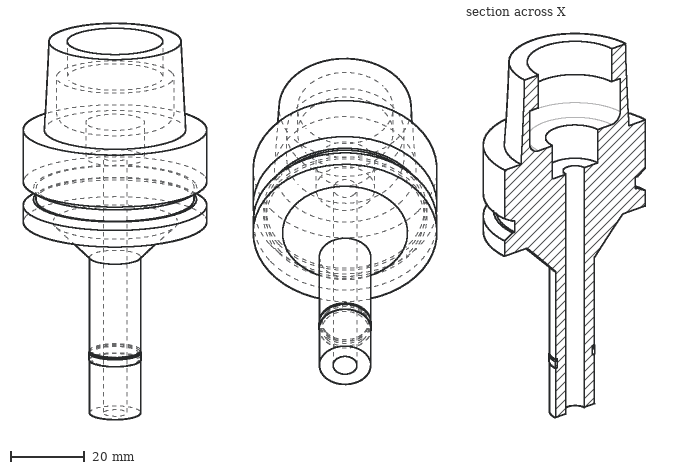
import cadquery as cq

total_length = 105.0
taper_length = 25.0
flange_length = 26.0
neck_cone_length = 10.0
gauge_face_z = total_length - taper_length
flange_bottom_z = gauge_face_z - flange_length
neck_bottom_z = flange_bottom_z - neck_cone_length

flange_radius = 25.0
taper_base_radius = 19.25
taper_tip_radius = 18.0
shank_radius = 7.0
neck_top_radius = shank_radius + neck_cone_length

gripper_center_z = 62.0
gripper_floor_width = 3.4
gripper_mouth_width = 6.6
gripper_floor_radius = 21.5
gripper_ledge_radius = 22.2

ring_groove_bottom_z = 15.0
ring_groove_width = 2.6
ring_seat_radius = 6.3
ring_height = 2.0
ring_radius = 7.1

drive_bore_radius = 13.0
drive_bore_depth = 10.0
undercut_radius = 16.0
undercut_fillet_radius = undercut_radius - drive_bore_radius
undercut_wall_length = 9.8
undercut_top_z = total_length - drive_bore_depth
undercut_fillet_top_z = undercut_top_z - undercut_wall_length
undercut_bottom_z = undercut_fillet_top_z - undercut_fillet_radius
clearance_bore_radius = 8.0
clearance_bore_depth = 10.0
through_hole_radius = 3.25


def cylinder(radius, bottom_z, height):
    return cq.Workplane("XY").workplane(offset=bottom_z).circle(radius).extrude(height)


def arbor_blank():
    profile = [
        (0, 0),
        (shank_radius, 0),
        (shank_radius, neck_bottom_z),
        (neck_top_radius, flange_bottom_z),
        (flange_radius, flange_bottom_z),
        (flange_radius, gripper_center_z - gripper_mouth_width / 2),
        (gripper_ledge_radius, gripper_center_z - gripper_floor_width / 2),
        (gripper_floor_radius, gripper_center_z - gripper_floor_width / 2),
        (gripper_floor_radius, gripper_center_z + gripper_floor_width / 2),
        (gripper_ledge_radius, gripper_center_z + gripper_floor_width / 2),
        (flange_radius, gripper_center_z + gripper_mouth_width / 2),
        (flange_radius, gauge_face_z),
        (taper_base_radius, gauge_face_z),
        (taper_tip_radius, total_length),
        (0, total_length),
    ]
    return cq.Workplane("XZ").polyline(profile).close().revolve(360, (0, 0, 0), (0, 1, 0))


def undercut():
    blank = cylinder(undercut_radius, undercut_bottom_z, undercut_top_z - undercut_bottom_z)
    return blank.faces("<Z").edges().fillet(undercut_fillet_radius)


def stepped_bore():
    drive_bore = cylinder(drive_bore_radius, undercut_top_z, drive_bore_depth)
    clearance_bore_bottom_z = undercut_bottom_z - clearance_bore_depth
    clearance_bore = cylinder(clearance_bore_radius, clearance_bore_bottom_z, clearance_bore_depth)
    through_hole = cylinder(through_hole_radius, 0, total_length)
    return drive_bore.union(undercut()).union(clearance_bore).union(through_hole)


def annulus(outer_radius, bottom_z, height):
    outer = cylinder(outer_radius, bottom_z, height)
    return outer.cut(cylinder(ring_seat_radius, bottom_z, height))


def make_arbor():
    ring_groove = annulus(ring_radius, ring_groove_bottom_z, ring_groove_width)
    return arbor_blank().cut(stepped_bore()).cut(ring_groove)


def make_ring():
    return annulus(ring_radius, ring_groove_bottom_z, ring_height)


arbor = make_arbor()
ring = make_ring()
result = cq.Compound.makeCompound([arbor.val(), ring.val()])